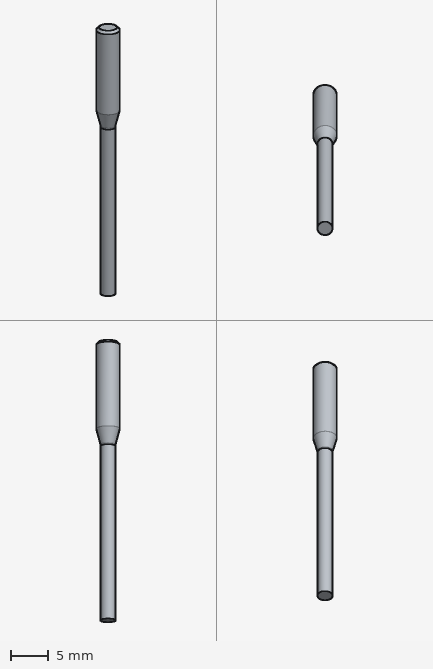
import cadquery as cq

total_length = 38.1
shank_diameter = 3.15
stem_diameter = 2.02

shank_length = 11.85
taper_length = 2.17
collar_length = 0.23
chamfer_size = 0.4

shank_radius = shank_diameter / 2
stem_radius = stem_diameter / 2
shank_bottom = total_length - shank_length
taper_bottom = shank_bottom - taper_length
stem_length = taper_bottom - collar_length


def make_holder():
    """Chamfered shank that tapers down to a short collar of the stem's diameter."""
    profile = (
        cq.Workplane("XZ")
        .moveTo(0, stem_length)
        .lineTo(stem_radius, stem_length)
        .lineTo(stem_radius, taper_bottom)
        .lineTo(shank_radius, shank_bottom)
        .lineTo(shank_radius, total_length - chamfer_size)
        .lineTo(shank_radius - chamfer_size, total_length)
        .lineTo(0, total_length)
        .close()
    )
    return profile.revolve(360, (0, 0, 0), (0, 1, 0))


def make_stem():
    """Plain round stem that butts against the collar."""
    return cq.Workplane("XY").circle(stem_radius).extrude(stem_length)


holder = make_holder()
stem = make_stem()

result = cq.Compound.makeCompound([holder.val(), stem.val()])